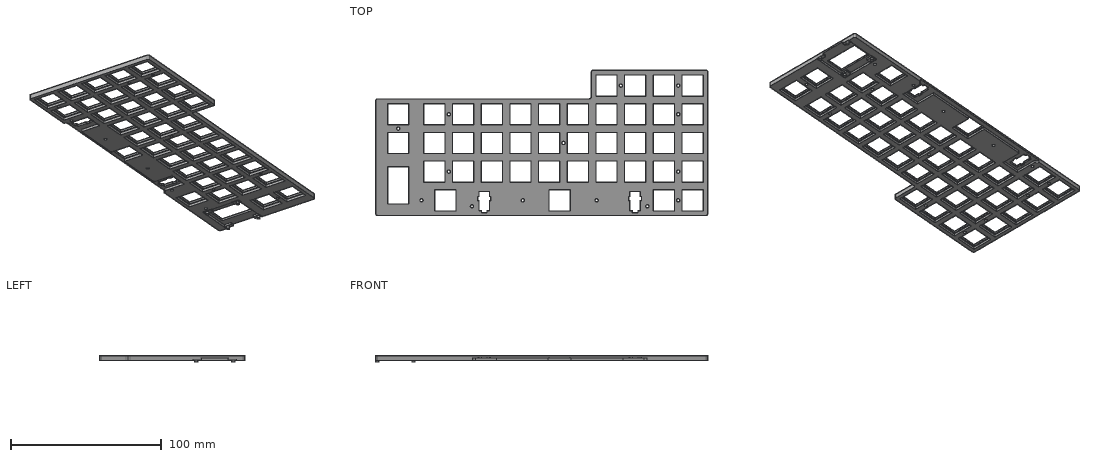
import cadquery as cq
length = 220.5
width = 96.5
total_height = 4.5
peg_drop = 1.0
top_skin = 1.5
plate_bottom = peg_drop
skin_bottom = total_height - top_skin
corner_radius = 1.3

main_columns = 10
row_count = 5
column_span = 171.3
key_pitch = column_span / (main_columns - 1)
key_opening = 14.0
clip_relief = 0.7
edge_to_key = 10.1
right_key_x = length - edge_to_key
column_x = [right_key_x - key_pitch * i for i in reversed(range(main_columns))]
row_y = [edge_to_key + key_pitch * i for i in range(row_count)]
side_column_x = 15.0
raised_columns = 4

space_x = 122.2
left_thumb_x = 46.3
stabilizer_offset = 50.0

stab_width = 6.8
stab_bottom = -6.8
stab_top = 5.7
wing_span = 8.4
wing_bottom = -0.2
wing_top = 2.5
foot_width = 3.5
foot_bottom = -8.2

hole_diameter = 2.0
left_screw_x = 30.5
inner_screw_offset = 24.5
outer_screw_offset = 58.2
outer_screw_y = 6.2

window_y = 20.0
window_length = 24.5
display_recess_length = 27.3
display_recess_width = 28.7
display_recess_depth = 0.5
glass_start = 2.6
glass_end = 23.5
header_slot_width = 17.6
peg_diameter = 2.2
peg_spacing_x = 24.0
peg_spacing_y = 24.7

wire_recess_width = 112.0
wire_recess_depth = 3.0
wire_mouth_radius = 2.0
housing_width = 14.1
housing_depth = 17.6


def box(x_min, x_max, y_min, y_max, z_min, z_max):
    """Box given by its limits along each axis."""
    size = (x_max - x_min, y_max - y_min, z_max - z_min)
    return cq.Workplane().box(*size, centered=False).translate((x_min, y_min, z_min))


def centred_box(x, y, x_size, y_size, z_min, z_max):
    """Box centred on (x, y) between two heights."""
    return box(x - x_size / 2, x + x_size / 2, y - y_size / 2, y + y_size / 2, z_min, z_max)


def between(values, i):
    """Midpoint of two neighbouring values."""
    return (values[i] + values[i + 1]) / 2


def make_plate():
    """L-shaped plate with every upright edge rounded."""
    step_x = column_x[-raised_columns] - edge_to_key
    step_y = width - key_pitch
    outline = [(0, 0), (length, 0), (length, width), (step_x, width), (step_x, step_y), (0, step_y)]
    plate = cq.Workplane().workplane(offset=plate_bottom).polyline(outline).close()
    return plate.extrude(total_height - plate_bottom).edges("|Z").fillet(corner_radius)


def key_centres():
    """Centres of all the key openings."""
    centres = [(x, y) for y in row_y[1:4] for x in column_x]
    centres += [(x, row_y[4]) for x in column_x[-raised_columns:]]
    centres += [(side_column_x, y) for y in row_y[2:4]]
    centres += [(x, row_y[0]) for x in (left_thumb_x, space_x, *column_x[-2:])]
    return centres


def key_cutter():
    """Square key opening, widened below the top skin for the switch clips."""
    relief_size = key_opening + 2 * clip_relief
    opening = centred_box(0, 0, key_opening, key_opening, 0, total_height)
    return opening.union(centred_box(0, 0, relief_size, relief_size, 0, skin_bottom))


def stabilizer_cutter():
    """Stepped through opening for one stabilizer housing, placed from the space bar centre."""
    body = box(-stab_width / 2, stab_width / 2, stab_bottom, stab_top, 0, total_height)
    wings = box(-wing_span / 2, wing_span / 2, wing_bottom, wing_top, 0, total_height)
    foot = box(-foot_width / 2, foot_width / 2, foot_bottom, stab_top, 0, total_height)
    return body.union(wings).union(foot)


def wire_recess_cutter():
    """Underside recess at the front edge, flared at its mouth and reaching further back at the housings."""
    half = wire_recess_width / 2
    r = wire_mouth_radius
    outline = (
        cq.Workplane()
        .moveTo(-half - r, 0)
        .radiusArc((-half, r), r)
        .lineTo(-half, wire_recess_depth)
        .lineTo(half, wire_recess_depth)
        .lineTo(half, r)
        .radiusArc((half + r, 0), r)
        .close()
    )
    cutter = outline.extrude(skin_bottom)
    for side in (-1, 1):
        housing_x = side * (half - housing_width / 2)
        cutter = cutter.union(
            centred_box(housing_x, housing_depth / 2, housing_width, housing_depth, 0, skin_bottom)
        )
    return cutter.translate((space_x, 0, 0))


result = make_plate().cut(wire_recess_cutter())
for x, y in key_centres():
    result = result.cut(key_cutter().translate((x, y, 0)))
for side in (-1, 1):
    result = result.cut(stabilizer_cutter().translate((space_x + side * stabilizer_offset, row_y[0], 0)))

y_min = window_y - display_recess_width / 2
y_max = window_y + display_recess_width / 2
result = result.cut(box(0, display_recess_length, y_min, y_max, 0, plate_bottom + display_recess_depth))
result = result.cut(box(glass_start, glass_end, y_min, y_max, 0, skin_bottom))
header_slot = (window_y - header_slot_width / 2, window_y + header_slot_width / 2)
result = result.cut(box(0, display_recess_length, *header_slot, 0, skin_bottom))
result = result.cut(centred_box(side_column_x, window_y, key_opening, window_length, 0, total_height))

for x in (peg_diameter / 2, peg_diameter / 2 + peg_spacing_x):
    for y in (window_y - peg_spacing_y / 2, window_y + peg_spacing_y / 2):
        peg = cq.Workplane().circle(peg_diameter / 2).extrude(plate_bottom + display_recess_depth)
        result = result.union(peg.translate((x, y, 0)))

screw_points = [
    (side_column_x, between(row_y, 2)),
    (between(column_x, 0), row_y[1]),
    (between(column_x, 0), row_y[3]),
    (between(column_x, 4), row_y[2]),
    (between(column_x, 6), row_y[4]),
    (left_screw_x, row_y[0]),
    (space_x - inner_screw_offset, row_y[0]),
    (space_x + inner_screw_offset, row_y[0]),
    (space_x - outer_screw_offset, outer_screw_y),
    (space_x + outer_screw_offset, outer_screw_y),
]
screw_points += [(between(column_x, 8), row_y[i]) for i in (0, 1, 3, 4)]
for x, y in screw_points:
    hole = cq.Workplane().circle(hole_diameter / 2).extrude(total_height)
    result = result.cut(hole.translate((x, y, 0)))